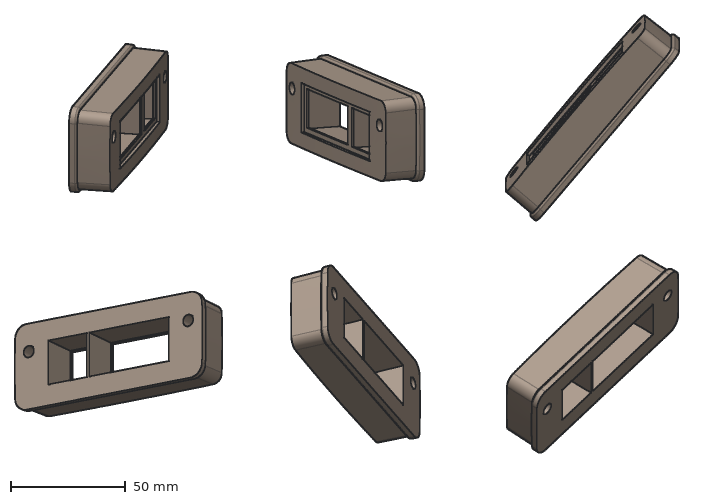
import cadquery as cq
import math

length = 98.0
height = 39.0
flange_thickness = 3.5
flange_corner_radius = 6.0
flange_edge_radius = 1.0
end_bulge = 0.4
draft_angle = 1.0

body_inset = 1.35
depth = 18.91
back_crown = 0.8

window_height = 20.0
wide_window_length = 41.5
narrow_window_length = 20.0
divider = 1.3
windows_length = wide_window_length + divider + narrow_window_length
pocket_depth = 16.0
wall_taper = 0.7
ledge_width = 0.65

recess_floor_x = 17.0
recess_length = 65.0
recess_height = 22.0

hole_diameter = 5.3
hole_spacing = 83.2
hole_z = 6.7


def end_bowed_outline(x, inset):
    """Rectangle in the plane at x whose short ends are shallow arcs."""
    half_height = height / 2 - inset
    tip_y = length / 2 - inset
    corner_y = tip_y - end_bulge
    return (
        cq.Workplane("YZ", origin=(x, 0, 0))
        .moveTo(-corner_y, -half_height)
        .lineTo(corner_y, -half_height)
        .threePointArc((tip_y, 0), (corner_y, half_height))
        .lineTo(-corner_y, half_height)
        .threePointArc((-tip_y, 0), (-corner_y, -half_height))
        .close()
    )


def drafted_block(x, inset, thickness, corner_radius):
    """Drafted prism with rounded corners, growing from x toward +X."""
    block = end_bowed_outline(x, inset).extrude(thickness, taper=draft_angle)
    corners = cq.selectors.BoxSelector(
        (x + thickness / 4, -length, -height), (x + 3 * thickness / 4, length, height)
    )
    return block.edges(corners).fillet(corner_radius)


def make_flange():
    flange = drafted_block(0, 0, flange_thickness, flange_corner_radius)
    return flange.faces(">X").edges().fillet(flange_edge_radius)


def make_body():
    body = drafted_block(
        flange_thickness, body_inset, depth - flange_thickness, flange_corner_radius - body_inset
    )
    half_length = length / 2 - body_inset
    end_x = depth - back_crown
    domed_envelope = (
        cq.Workplane("XY", origin=(0, 0, -height))
        .moveTo(0, -half_length)
        .lineTo(end_x, -half_length)
        .threePointArc((depth, 0), (end_x, half_length))
        .lineTo(0, half_length)
        .close()
        .extrude(2 * height)
    )
    return body.intersect(domed_envelope)


def cut_window(part, center_y, window_length):
    taper_angle = math.degrees(math.atan(wall_taper / pocket_depth))
    opening_inset = 2 * (wall_taper + ledge_width)
    pocket = (
        cq.Workplane("YZ", origin=(0, center_y, 0))
        .rect(window_length, window_height)
        .extrude(pocket_depth, taper=taper_angle)
    )
    opening = (
        cq.Workplane("YZ", origin=(0, center_y, 0))
        .rect(window_length - opening_inset, window_height - opening_inset)
        .extrude(depth)
    )
    return part.cut(pocket).cut(opening)


def cut_back_recess(part):
    recess = (
        cq.Workplane("YZ", origin=(recess_floor_x, 0, 0))
        .rect(recess_length, recess_height)
        .extrude(depth - recess_floor_x)
    )
    return part.cut(recess)


def cut_screw_holes(part):
    holes = (
        cq.Workplane("YZ")
        .pushPoints([(side * hole_spacing / 2, hole_z) for side in (-1, 1)])
        .circle(hole_diameter / 2)
        .extrude(depth)
    )
    return part.cut(holes)


windows_end_y = windows_length / 2
narrow_center_y = windows_end_y - narrow_window_length / 2
wide_center_y = wide_window_length / 2 - windows_end_y

part = make_flange().union(make_body())
part = cut_window(part, narrow_center_y, narrow_window_length)
part = cut_window(part, wide_center_y, wide_window_length)
part = cut_back_recess(part)
result = cut_screw_holes(part)